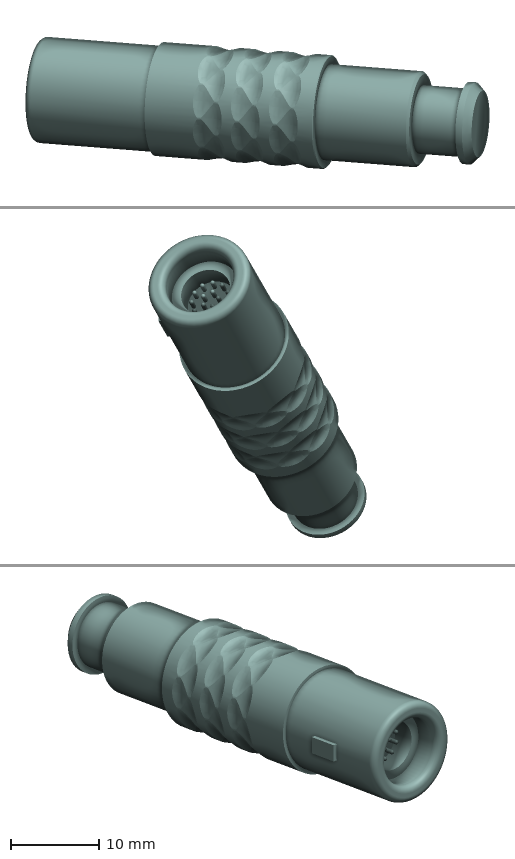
import cadquery as cq
import math

length = 52
nose_radius = 6.05
sleeve_start = 14.3
sleeve_end = 34.05
sleeve_diameter = 12.95
sleeve_radius = sleeve_diameter / 2
sleeve_corner = 0.1
barrel_end = 45.05
barrel_radius = 5.45
barrel_chamfer = 0.3
neck_radius = 3.9
flange_start = 50.35
flange_radius = 4.7
flange_chamfer = 0.9

rim_round = 0.75
mouth_round = 0.8
socket_radius = 4.0
socket_depth = 3.05
insert_radius = 2.9
insert_depth = 5.7

contact_radius = 0.25
contact_length = 1.25
outer_contacts = 11
outer_contact_circle = 2.2
inner_contacts = 5
inner_contact_circle = 1.0

key_start = 6.1
key_end = 9.6
key_width = 2.0
key_top = sleeve_radius
key_root = socket_radius + 0.5

bands = 3
first_band = 21.65
band_pitch = 4.45
scallops_per_row = 10
scallop_step = 360 / scallops_per_row
scallop_depth = 0.39
scallop_lowest = 0.6
scallop_steep_angle = 36
scallop_gentle_angle = 15
cutter_lift = 0.1
cutter_outer_end = 1.85
cutter_inner_end = 1.4


def turned_body():
    half = (
        cq.Workplane("XY")
        .polyline(
            [
                (0, 0),
                (0, nose_radius),
                (sleeve_start, nose_radius),
                (sleeve_start, sleeve_radius),
                (sleeve_end - sleeve_corner, sleeve_radius),
                (sleeve_end, sleeve_radius - sleeve_corner),
                (sleeve_end, barrel_radius),
                (barrel_end - barrel_chamfer, barrel_radius),
                (barrel_end, barrel_radius - barrel_chamfer),
                (barrel_end, neck_radius),
                (flange_start, neck_radius),
                (flange_start, flange_radius),
                (length - flange_chamfer, flange_radius),
                (length, flange_radius - flange_chamfer),
                (length, 0),
            ]
        )
        .close()
    )
    body = half.revolve(360, (0, 0, 0), (1, 0, 0))
    return body.faces("<X").edges().fillet(rim_round)


def bore(radius, depth):
    return cq.Workplane("YZ").circle(radius).extrude(depth)


def contact_pin():
    """Round-nosed pin on the X axis."""
    dome_centre = insert_depth - contact_length + contact_radius
    shank = (
        cq.Workplane("YZ", origin=(dome_centre, 0, 0))
        .circle(contact_radius)
        .extrude(insert_depth - dome_centre)
    )
    return shank.union(cq.Workplane("XY", origin=(dome_centre, 0, 0)).sphere(contact_radius))


def add_contacts(body, count, circle_radius, start_angle):
    for i in range(count):
        pin = contact_pin().translate((0, circle_radius, 0))
        body = body.union(pin.rotate((0, 0, 0), (1, 0, 0), start_angle + i * 360 / count))
    return body


def key():
    block = cq.Workplane("XY").box(
        key_end - key_start, key_top - key_root, key_width, centered=(False, False, True)
    )
    return block.translate((key_start, key_root, 0))


def scallop_cutter():
    """Cutter at the top of the sleeve for the left row, with the band's middle plane at x = 0."""
    top = sleeve_radius + cutter_lift
    steep = math.radians(scallop_steep_angle)
    gentle = math.radians(scallop_gentle_angle)
    return (
        cq.Workplane("XZ")
        .spline(
            [
                (-cutter_outer_end, top),
                (-scallop_lowest, sleeve_radius - scallop_depth),
                (cutter_inner_end, top),
            ],
            tangents=[
                (math.cos(steep), -math.sin(steep)),
                (1, 0),
                (math.cos(gentle), math.sin(gentle)),
            ],
        )
        .close()
        .extrude(sleeve_radius, both=True)
    )


result = turned_body()
result = result.cut(bore(socket_radius, socket_depth))
mouth_edge = cq.selectors.BoxSelector(
    (-0.05, -socket_radius - 0.5, -socket_radius - 0.5), (0.05, socket_radius + 0.5, socket_radius + 0.5)
)
result = result.edges(mouth_edge).fillet(mouth_round)
result = result.cut(bore(insert_radius, insert_depth))
result = add_contacts(result, outer_contacts, outer_contact_circle, 0)
result = add_contacts(result, inner_contacts, inner_contact_circle, 180)
result = result.union(key())

left = scallop_cutter()
right = left.mirror("YZ").rotate((0, 0, 0), (1, 0, 0), scallop_step / 2)
for band in range(bands):
    band_centre = first_band + band * band_pitch
    for row in (left, right):
        for i in range(scallops_per_row):
            cutter = row.rotate((0, 0, 0), (1, 0, 0), i * scallop_step)
            result = result.cut(cutter.translate((band_centre, 0, 0)))